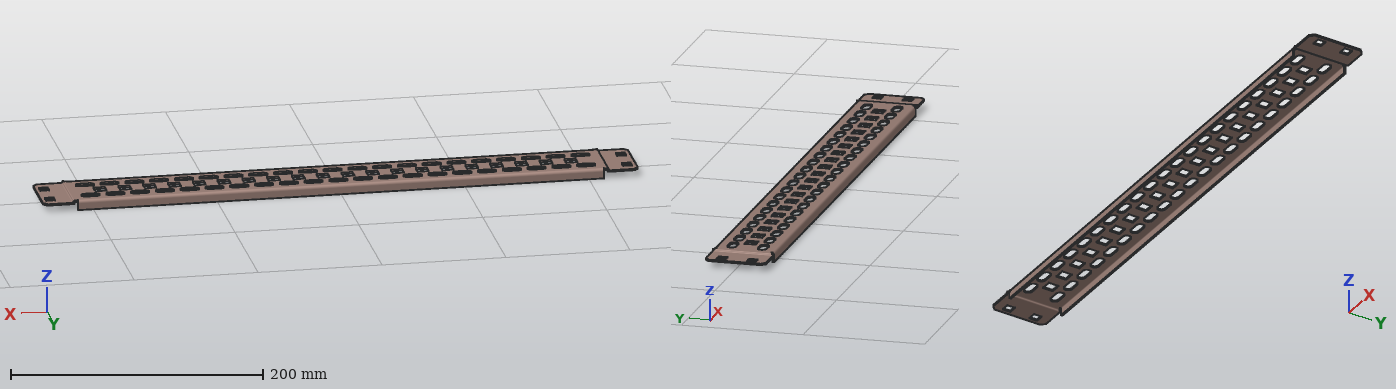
import cadquery as cq

length = 480.0
width = 49.5
height = 8.0
sheet = 1.5

flange_length = 424.5
bend_radius = 2.5

ear_drop = 1.5
step_outer_x = 217.0
step_inner_x = 215.0
step_offset = 1.0
ear_chamfer = 3.5
ear_hole_size = 7.0
ear_hole_x = 233.0

slot_count = 21
slot_row_span = 400.0
pitch = slot_row_span / (slot_count - 1)
slot_length = 15.0
slot_width = 7.0
slot_row_y = 12.5
square_count = 20
square_size = 9.0

relief_depth = 1.0


def make_channel():
    """Flat web with two side flanges folded down around rounded bends."""
    outer = (
        cq.Workplane("YZ")
        .rect(width, 2 * height)
        .extrude(flange_length / 2, both=True)
        .edges("|X and >Z")
        .fillet(bend_radius)
    )
    inner = (
        cq.Workplane("YZ")
        .rect(width - 2 * sheet, 2 * (height - sheet))
        .extrude(flange_length / 2, both=True)
        .edges("|X and >Z")
        .fillet(bend_radius - sheet)
    )
    lower_half = cq.Workplane("XY").box(length, width, height, centered=(True, True, False))
    return outer.cut(inner).intersect(lower_half)


def make_end():
    """Web extension, double-bent step and lowered ear at the +X end."""
    web_end = flange_length / 2
    ear_top = height - ear_drop
    step_middle_x = (step_inner_x + step_outer_x) / 2
    step_middle_z = height - ear_drop / 2
    end = (
        cq.Workplane("XZ")
        .moveTo(web_end, height)
        .lineTo(step_inner_x, height)
        .tangentArcPoint((step_middle_x, step_middle_z), relative=False)
        .tangentArcPoint((step_outer_x, ear_top), relative=False)
        .lineTo(length / 2, ear_top)
        .lineTo(length / 2, ear_top - sheet)
        .lineTo(step_outer_x - step_offset, ear_top - sheet)
        .tangentArcPoint((step_middle_x - step_offset, step_middle_z - sheet), relative=False)
        .tangentArcPoint((step_inner_x - step_offset, height - sheet), relative=False)
        .lineTo(web_end, height - sheet)
        .close()
        .extrude(width / 2, both=True)
    )
    end = end.faces(">X").edges("|Z").chamfer(ear_chamfer)
    relief_length = step_inner_x - web_end
    relief = (
        cq.Workplane("XY")
        .pushPoints([(web_end + relief_length / 2, y) for y in (-width / 2, width / 2)])
        .rect(relief_length, 2 * relief_depth)
        .extrude(height)
    )
    return end.cut(relief)


def row_positions(count, y):
    """Points along X at the common pitch, centred on X = 0."""
    return [((i - (count - 1) / 2) * pitch, y) for i in range(count)]


def make_holes():
    """Two rows of slots, a middle row of squares and four square ear holes."""
    slot_points = row_positions(slot_count, -slot_row_y) + row_positions(slot_count, slot_row_y)
    slots = cq.Workplane("XY").pushPoints(slot_points).slot2D(slot_length, slot_width).extrude(height)
    squares = (
        cq.Workplane("XY")
        .pushPoints(row_positions(square_count, 0))
        .rect(square_size, square_size)
        .extrude(height)
    )
    ear_holes = (
        cq.Workplane("XY")
        .rect(2 * ear_hole_x, 2 * slot_row_y, forConstruction=True)
        .vertices()
        .rect(ear_hole_size, ear_hole_size)
        .extrude(height)
    )
    return slots.add(squares).add(ear_holes).combine()


end = make_end()
result = make_channel().union(end).union(end.mirror("YZ")).cut(make_holes())